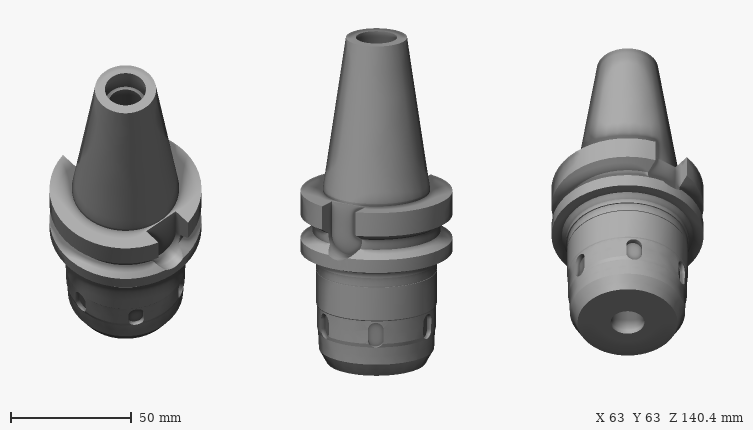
import cadquery as cq

gauge_radius = 44.45 / 2
taper_length = 65.4
taper_radius_ratio = 7 / 48
taper_tip_radius = gauge_radius - taper_length * taper_radius_ratio

flange_radius = 63.0 / 2
flange_top_z = -1.0
flange_bottom_z = -27.0
groove_radius = 53.0 / 2
groove_upper_rim_z = -11.2
groove_floor_top_z = -14.2
groove_floor_bottom_z = -18.5
groove_lower_rim_z = -21.4

neck_flare_radius = 27.2
neck_flare_bottom_z = -29.2
neck_radius = 25.5
neck_bottom_z = -31.2
nut_radius = 25.0
nut_top_z = -35.4
joint_width = 0.4
joint_depth = 0.3
nut_step_z = -49.7
nut_step_height = 0.4
nut_lower_radius = 24.75
nut_lower_end_radius = 24.6
nut_lower_end_z = -60.0
nose_top_radius = 24.25
nose_top_z = -61.6
nose_rim_radius = 23.9
nose_rim_z = -69.2
nose_end_radius = 20.7
bottom_z = -75.0

bore_radius = 14.0 / 2
counterbore_radius = 17.0 / 2
counterbore_depth = 9.0

keyway_count = 2
keyway_width = 16.1
keyway_floor_x = 22.6
keyway_bottom_z = -22.9

wrench_slot_count = 6
wrench_slot_width = 6.5
wrench_slot_height = 10.8
wrench_slot_center_z = -56.2
wrench_slot_floor_radius = 22.4


def turned_body():
    """Solid of revolution: taper, flange, neck and nut."""
    profile = [
        (0, taper_length),
        (taper_tip_radius, taper_length),
        (gauge_radius, 0),
        (gauge_radius, flange_top_z),
        (flange_radius, flange_top_z),
        (flange_radius, groove_upper_rim_z),
        (groove_radius, groove_floor_top_z),
        (groove_radius, groove_floor_bottom_z),
        (flange_radius, groove_lower_rim_z),
        (flange_radius, flange_bottom_z),
        (neck_flare_radius, flange_bottom_z),
        (neck_radius, neck_flare_bottom_z),
        (neck_radius, neck_bottom_z),
        (nut_radius, neck_bottom_z),
        (nut_radius, nut_top_z + joint_width),
        (nut_radius - joint_depth, nut_top_z + joint_width),
        (nut_radius - joint_depth, nut_top_z),
        (nut_radius, nut_top_z),
        (nut_radius, nut_step_z),
        (nut_lower_radius, nut_step_z - nut_step_height),
        (nut_lower_end_radius, nut_lower_end_z),
        (nose_top_radius, nose_top_z),
        (nose_rim_radius, nose_rim_z),
        (nose_end_radius, bottom_z),
        (0, bottom_z),
    ]
    return cq.Workplane("YZ").polyline(profile).close().revolve(360, (0, 0), (0, 1))


def stepped_bore():
    """Through hole with a counterbore at the taper tip."""
    through_hole = (
        cq.Workplane("XY", origin=(0, 0, bottom_z)).circle(bore_radius).extrude(taper_length - bottom_z)
    )
    counterbore = (
        cq.Workplane("XY", origin=(0, 0, taper_length))
        .circle(counterbore_radius)
        .extrude(-counterbore_depth)
    )
    return through_hole.union(counterbore)


def keyway():
    """Round-bottomed keyway on the +X side, open at the flange top."""
    half_width = keyway_width / 2
    arc_center_z = keyway_bottom_z + half_width
    return (
        cq.Workplane("YZ", origin=(keyway_floor_x, 0, 0))
        .moveTo(-half_width, flange_top_z)
        .lineTo(-half_width, arc_center_z)
        .threePointArc((0, keyway_bottom_z), (half_width, arc_center_z))
        .lineTo(half_width, flange_top_z)
        .close()
        .extrude(flange_radius - keyway_floor_x)
    )


def wrench_slot():
    """Upright round-ended slot with a flat floor, on the -Y side."""
    return (
        cq.Workplane("XZ", origin=(0, -wrench_slot_floor_radius, wrench_slot_center_z))
        .slot2D(wrench_slot_height, wrench_slot_width, 90)
        .extrude(nut_radius - wrench_slot_floor_radius)
    )


def spaced_around_axis(cutter, count):
    """Copies of a cutter evenly spaced about the Z axis."""
    step = 360 / count
    return [cutter.rotate((0, 0, 0), (0, 0, 1), i * step) for i in range(count)]


result = turned_body().cut(stepped_bore())
for cutter in spaced_around_axis(keyway(), keyway_count):
    result = result.cut(cutter)
for cutter in spaced_around_axis(wrench_slot(), wrench_slot_count):
    result = result.cut(cutter)